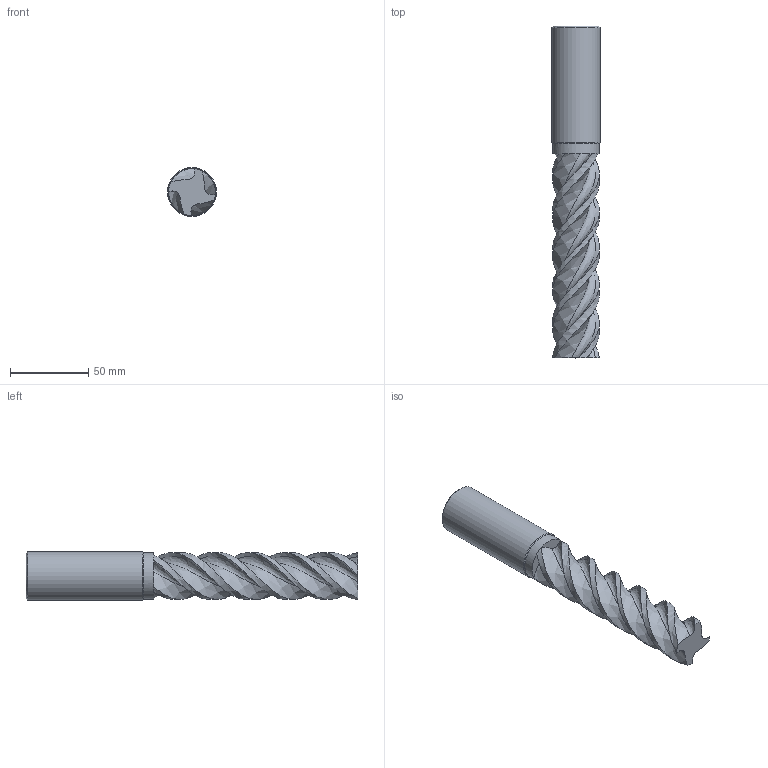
import cadquery as cq
import math

overall_length = 212.08
shank_length = 75.0
neck_length = 6.5
flute_length = overall_length - shank_length - neck_length

shank_diameter = 31.18
shank_chamfer = 1.0
step_chamfer = 0.5
cutter_diameter = 30.0
cutter_radius = cutter_diameter / 2

helix_lead = 95.3
flute_angles = (0, 90, 175, 265)
twist_angle = 360 * flute_length / helix_lead

rake_offset = 1.6
floor_height = 7.9
root_radius = 4.5
back_radius = 42.0
overshoot = 1.5 * cutter_radius


def shaft(diameter, start, length):
    """Round bar along +Y, starting at Y = start."""
    return cq.Workplane("XZ", origin=(0, start, 0)).circle(diameter / 2).extrude(-length)


def arc_point(center_x, center_y, radius, angle):
    """Point on a circle, with the angle in radians from +X."""
    return (center_x + radius * math.cos(angle), center_y + radius * math.sin(angle))


def flute_section():
    """Region removed by one flute at the +Y side of the section, trailing off toward +X."""
    root_x = root_radius - rake_offset
    root_y = floor_height + root_radius
    rake_end = (-rake_offset, root_y)
    root_mid = arc_point(root_x, root_y, root_radius, math.radians(225))
    root_end = (root_x, floor_height)

    back_y = floor_height - back_radius
    back_sweep = math.asin((cutter_radius - root_x) / back_radius)
    back_mid = arc_point(root_x, back_y, back_radius, math.pi / 2 - back_sweep / 2)
    back_end = arc_point(root_x, back_y, back_radius, math.pi / 2 - back_sweep)

    return (
        cq.Sketch()
        .segment((-rake_offset, overshoot), rake_end)
        .arc(root_mid, root_end)
        .arc(back_mid, back_end)
        .segment((overshoot, overshoot))
        .close()
        .assemble()
    )


def fluted_section():
    """Cutter cross-section: a disc with the flutes taken out of it."""
    section = cq.Sketch().circle(cutter_radius)
    for angle in flute_angles:
        turn = cq.Location(cq.Vector(), cq.Vector(0, 0, 1), angle)
        section = section.face(flute_section().moved(turn), mode="s")
    return section


def fluted_cutter():
    """Right-hand twist of the cutter section from the tip to the neck."""
    tip_plane = cq.Plane(origin=(0, 0, 0), xDir=(-1, 0, 0), normal=(0, 1, 0))
    section = cq.Workplane(tip_plane).placeSketch(fluted_section())
    return section.twistExtrude(flute_length, twist_angle)


def shank():
    """Plain shank, chamfered at its free end and at the step down to the neck."""
    bar = shaft(shank_diameter, flute_length + neck_length, shank_length)
    return bar.faces(">Y").chamfer(shank_chamfer).faces("<Y").chamfer(step_chamfer)


neck = shaft(cutter_diameter, flute_length, neck_length)
result = fluted_cutter().union(neck).union(shank())